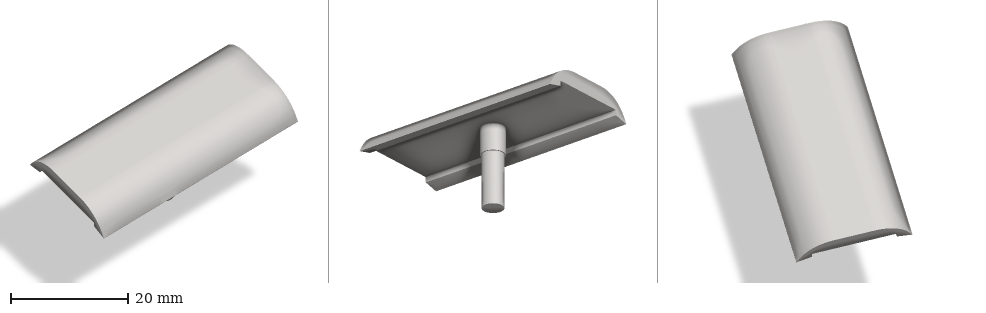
import cadquery as cq
import math

bar_length = 42.0
bar_width = 20.6
slab_thickness = 3.0
flat_top_width = 7.3
shoulder_radius = 6.95
shoulder_angle = math.radians(60)

recess_width = 15.05
lip_inner_depth = 4.0
lip_outer_depth = 4.65

overall_height = 18.0
collar_diameter = 4.4
collar_length = 5.0
pin_diameter = 3.9


def shoulder_point(angle):
    """Point on the right rounded shoulder, with the angle measured from the top."""
    x = flat_top_width / 2 + shoulder_radius * math.sin(angle)
    z = -shoulder_radius * (1 - math.cos(angle))
    return x, z


def mirrored(point):
    """The matching point on the left half of the section."""
    x, z = point
    return -x, z


def make_bar():
    top_corner = shoulder_point(0)
    shoulder_middle = shoulder_point(shoulder_angle / 2)
    shoulder_end = shoulder_point(shoulder_angle)

    edge_x = bar_width / 2
    flank_drop = (edge_x - shoulder_end[0]) * math.tan(shoulder_angle)
    edge_top = (edge_x, shoulder_end[1] - flank_drop)
    edge_bottom = (edge_x, -lip_outer_depth)
    lip_inner = (recess_width / 2, -lip_inner_depth)
    recess_corner = (recess_width / 2, -slab_thickness)

    section = (
        cq.Workplane("XZ")
        .moveTo(*mirrored(top_corner))
        .lineTo(*top_corner)
        .threePointArc(shoulder_middle, shoulder_end)
        .lineTo(*edge_top)
        .lineTo(*edge_bottom)
        .lineTo(*lip_inner)
        .lineTo(*recess_corner)
        .lineTo(*mirrored(recess_corner))
        .lineTo(*mirrored(lip_inner))
        .lineTo(*mirrored(edge_bottom))
        .lineTo(*mirrored(edge_top))
        .lineTo(*mirrored(shoulder_end))
        .threePointArc(mirrored(shoulder_middle), mirrored(top_corner))
        .close()
    )
    return section.extrude(bar_length / 2, both=True)


def make_post(diameter, bottom_z):
    """Round post from inside the slab down to bottom_z."""
    post_top = -slab_thickness / 2
    return (
        cq.Workplane("XY")
        .workplane(offset=bottom_z)
        .circle(diameter / 2)
        .extrude(post_top - bottom_z)
    )


collar = make_post(collar_diameter, -(slab_thickness + collar_length))
pin = make_post(pin_diameter, -overall_height)

result = make_bar().union(collar).union(pin)